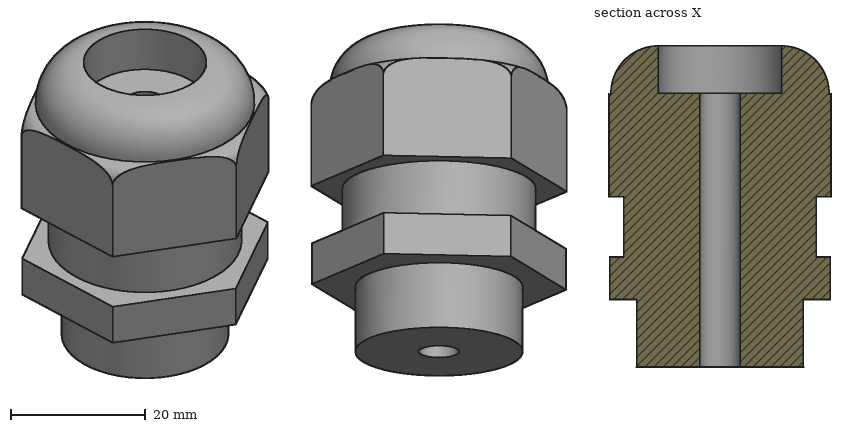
import cadquery as cq
import math

thread_top = 10.0
flange_top = 16.35
nut_bottom = 25.2
nut_top = 40.5
total_height = 47.65

thread_diameter = 24.85
neck_diameter = 28.7
flange_across_flats = 32.75
nut_across_flats = 32.95
recess_diameter = 18.2
recess_depth = 7.05
bore_diameter = 6.0

dome_round = total_height - nut_top
dome_radius = recess_diameter / 2 + dome_round
corner_radius = nut_across_flats / math.sqrt(3)
corner_round = corner_radius - dome_radius


def cylinder(diameter, bottom, top):
    return cq.Workplane("XY").workplane(offset=bottom).circle(diameter / 2).extrude(top - bottom)


def hexagon(across_flats, bottom, top):
    """Hexagonal prism with two corners on the X axis."""
    across_corners = across_flats * 2 / math.sqrt(3)
    return cq.Workplane("XY").workplane(offset=bottom).polygon(6, across_corners).extrude(top - bottom)


def rounded_nut():
    """Hexagon whose upper corners are trimmed by a revolved quarter round."""
    diagonal = corner_round * math.sqrt(0.5)
    envelope = (
        cq.Workplane("XZ")
        .moveTo(0, nut_bottom)
        .lineTo(corner_radius, nut_bottom)
        .lineTo(corner_radius, nut_top - corner_round)
        .threePointArc(
            (dome_radius + diagonal, nut_top - corner_round + diagonal),
            (dome_radius, nut_top),
        )
        .lineTo(0, nut_top)
        .close()
        .revolve(360, (0, 0, 0), (0, 1, 0))
    )
    return hexagon(nut_across_flats, nut_bottom, nut_top).intersect(envelope)


def rounded_dome():
    rim_radius = recess_diameter / 2
    diagonal = dome_round * math.sqrt(0.5)
    return (
        cq.Workplane("XZ")
        .moveTo(0, nut_top)
        .lineTo(dome_radius, nut_top)
        .threePointArc((rim_radius + diagonal, nut_top + diagonal), (rim_radius, total_height))
        .lineTo(0, total_height)
        .close()
        .revolve(360, (0, 0, 0), (0, 1, 0))
    )


body = (
    cylinder(thread_diameter, 0, thread_top)
    .union(hexagon(flange_across_flats, thread_top, flange_top))
    .union(cylinder(neck_diameter, flange_top, nut_bottom))
    .union(rounded_nut())
    .union(rounded_dome())
)

recess = cylinder(recess_diameter, total_height - recess_depth, total_height)
bore = cylinder(bore_diameter, 0, total_height)
result = body.cut(recess).cut(bore)